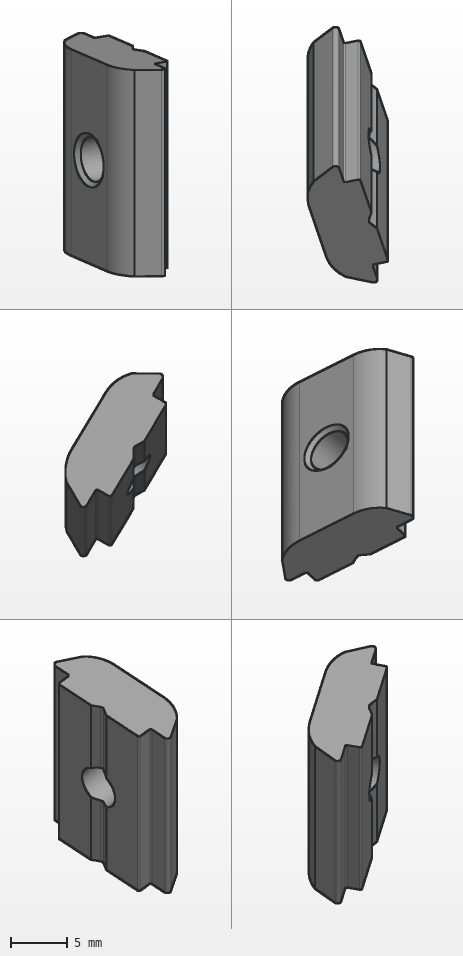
import cadquery as cq
import math

width = 14.0
depth = 5.2
length = 19.05

neck_width = 9.9
neck_height = 1.47
neck_corner_radius = 0.2
shoulder_inner_radius = 0.15
tip_radius = 0.35
flank_angle = math.radians(30)

front_flat_width = 5.98
front_edge_height = 1.15

groove_width = 1.9
groove_slope = math.radians(30)
groove_root_radius = 0.38

hole_diameter = 4.04
countersink_diameter = 4.9
countersink_angle = 90

front_y = -depth / 2
back_y = depth / 2
shoulder_y = back_y - neck_height


def make_half_profile():
    """Solid on the +X side, from the centre plane out to the shoulder tip."""
    tip_center_x = width / 2 - tip_radius
    tip_center_y = shoulder_y - tip_radius
    flank_top_x = tip_center_x + tip_radius * math.cos(flank_angle)
    flank_top_y = tip_center_y - tip_radius * math.sin(flank_angle)

    flank_bottom_y = front_y + front_edge_height
    flank_bottom_x = flank_top_x - (flank_top_y - flank_bottom_y) * math.tan(flank_angle)

    arc_start_x = front_flat_width / 2
    arc_run = flank_bottom_x - arc_start_x
    arc_radius = (arc_run**2 + front_edge_height**2) / (2 * front_edge_height)
    half_sweep = math.atan2(front_edge_height, arc_run)
    arc_middle = (
        arc_start_x + arc_radius * math.sin(half_sweep),
        front_y + arc_radius * (1 - math.cos(half_sweep)),
    )

    half = (
        cq.Workplane("XY", origin=(0, 0, -length / 2))
        .moveTo(0, front_y)
        .lineTo(arc_start_x, front_y)
        .threePointArc(arc_middle, (flank_bottom_x, flank_bottom_y))
        .lineTo(flank_top_x, flank_top_y)
        .threePointArc((width / 2, tip_center_y), (tip_center_x, shoulder_y))
        .lineTo(neck_width / 2, shoulder_y)
        .lineTo(neck_width / 2, back_y)
        .lineTo(0, back_y)
        .close()
        .extrude(length)
    )
    outer_corner = cq.NearestToPointSelector((neck_width / 2, back_y, 0))
    inner_corner = cq.NearestToPointSelector((neck_width / 2, shoulder_y, 0))
    half = half.edges("|Z").edges(outer_corner).fillet(neck_corner_radius)
    return half.edges("|Z").edges(inner_corner).fillet(shoulder_inner_radius)


def make_groove():
    """V-shaped cutter with a rounded root."""
    sharp_depth = groove_width / 2 * math.tan(groove_slope)
    return (
        cq.Workplane("XY", origin=(0, back_y, -length / 2))
        .polyline([(-groove_width / 2, 0), (0, -sharp_depth), (groove_width / 2, 0)])
        .close()
        .extrude(length)
        .edges("|Z and <Y")
        .fillet(groove_root_radius)
    )


half_body = make_half_profile()
body = half_body.union(half_body.mirror("YZ")).clean()
body = body.cut(make_groove())
front_face = body.faces("<Y").workplane(origin=(0, front_y, 0))
result = front_face.cskHole(hole_diameter, countersink_diameter, countersink_angle)